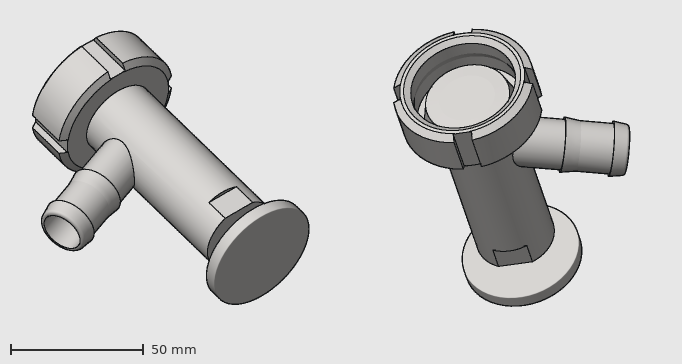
import cadquery as cq
import math


nut_length = 19.8
nut_radius = 27.0
slot_count = 4
slot_width = 7.0
slot_floor_radius = 24.0
nut_chamfer_radial = nut_radius - slot_floor_radius
nut_chamfer_axial = nut_chamfer_radial * math.tan(math.radians(30))
mouth_radius = 22.6
bore_radius = 20.15
mouth_chamfer_axial = 1.6
relief_start = 7.8
relief_end = 11.0
relief_radius = 21.15

barrel_radius = 15.0
barrel_end = 94.1
flats_length = 10.0
flats_across = 27.0
nose_front = 9.6
nose_front_radius = 16.2
nose_back_radius = 18.3
nose_half_angle = 15.0
nose_back = nose_front + (nose_back_radius - nose_front_radius) / math.tan(math.radians(nose_half_angle))

cone_base_radius = 15.0
cone_top_radius = 10.7
cone_height = 0.4

stem_radius = 5.0
knob_radius = 22.6
knob_thickness = 5.25
knob_end = 108.25
knob_edge_fillet = 0.3

port_angle = 20.0
port_x = 33.6
port_radius = 9.6
port_bore_radius = 8.0
barb_radius = 10.5
barb_length = 6.0
first_barb = 30.8
barb_spacing = 18.5
second_barb = first_barb + barb_spacing
port_length = second_barb + barb_length
port_lip_fillet = 1.2


def revolve_about_x(outline):
    return outline.close().revolve(360, (0, 0, 0), (1, 0, 0))


def make_nut():
    outline = (
        cq.Workplane("XY")
        .moveTo(0, mouth_radius)
        .lineTo(0, slot_floor_radius)
        .lineTo(nut_chamfer_axial, nut_radius)
        .lineTo(nut_length - nut_chamfer_axial, nut_radius)
        .lineTo(nut_length, slot_floor_radius)
        .lineTo(nut_length, barrel_radius)
        .lineTo(nose_back, barrel_radius)
        .lineTo(nose_back, relief_radius)
        .lineTo(relief_end, relief_radius)
        .lineTo(relief_start, bore_radius)
        .lineTo(mouth_chamfer_axial, bore_radius)
    )
    nut = revolve_about_x(outline)
    slot_depth = nut_radius - slot_floor_radius
    slot = cq.Workplane("XY").box(nut_length, slot_width, slot_depth, centered=(False, True, False))
    slot = slot.translate((0, 0, slot_floor_radius))
    for index in range(slot_count):
        nut = nut.cut(slot.rotate((0, 0, 0), (1, 0, 0), index * 360 / slot_count))
    return nut


def make_barrel():
    outline = (
        cq.Workplane("XY")
        .moveTo(nose_front - cone_height, 0)
        .lineTo(nose_front - cone_height, cone_top_radius)
        .lineTo(nose_front, cone_base_radius)
        .lineTo(nose_front, nose_front_radius)
        .lineTo(nose_back, nose_back_radius)
        .lineTo(nose_back, barrel_radius)
        .lineTo(barrel_end, barrel_radius)
        .lineTo(barrel_end, 0)
    )
    barrel = revolve_about_x(outline)
    flat_depth = barrel_radius - flats_across / 2
    flat_cutter = cq.Workplane("XY").box(flats_length, 2 * barrel_radius, flat_depth)
    for side in (1, -1):
        flat_center = (barrel_end - flats_length / 2, 0, side * (barrel_radius - flat_depth / 2))
        barrel = barrel.cut(flat_cutter.translate(flat_center))
    return barrel


def make_knob():
    knob_start = knob_end - knob_thickness
    stem = cq.Workplane("YZ", origin=(barrel_end, 0, 0)).circle(stem_radius).extrude(knob_start - barrel_end)
    disc = cq.Workplane("YZ", origin=(knob_start, 0, 0)).circle(knob_radius).extrude(knob_thickness)
    return stem.union(disc.edges().fillet(knob_edge_fillet))


def make_port():
    """Barbed tube that ends blind on the barrel surface."""
    outline = (
        cq.Workplane("XY")
        .lineTo(port_radius, 0)
        .lineTo(port_radius, first_barb)
        .lineTo(barb_radius, first_barb)
        .lineTo(port_radius, first_barb + barb_length)
        .lineTo(port_radius, second_barb)
        .lineTo(barb_radius, second_barb)
        .lineTo(port_radius, port_length)
        .lineTo(0, port_length)
        .close()
    )
    port = outline.revolve(360, (0, 0, 0), (0, 1, 0))
    port = port.faces(">Y").edges().fillet(port_lip_fillet)
    bore = cq.Workplane("XZ").circle(port_bore_radius).extrude(-port_length)
    port = port.cut(bore)
    return port.rotate((0, 0, 0), (0, 0, 1), 180 + port_angle).translate((port_x, 0, 0))


def make_valve():
    return make_port().union(make_barrel()).union(make_knob())


nut = make_nut()
valve = make_valve()

result = cq.Compound.makeCompound([nut.val(), valve.val()])